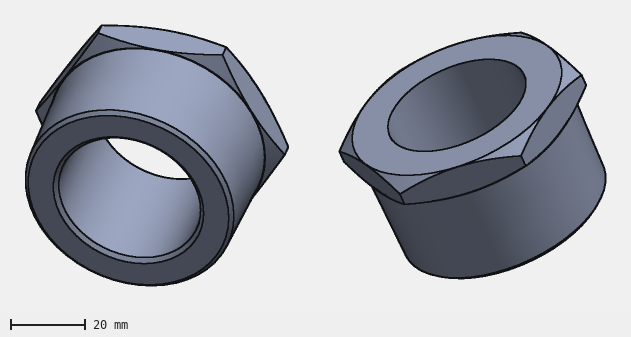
import cadquery as cq
import math

across_corners = 69.3
head_thickness = 8.95
head_face_diameter = 59.9
corner_chamfer_angle = 30.0
corner_clearance = 0.7

total_length = 37.0
root_diameter = 59.6
tip_diameter = 58.05
tip_chamfer = 1.1

bore_diameter = 39.5
bore_chamfer = 1.2

head_back = 0.0
head_front = head_back - head_thickness
tip_end = head_back - total_length


def revolved(profile):
    """Solid of revolution about Y from (radius, y) points."""
    return cq.Workplane("XY").polyline(profile).close().revolve(360, (0, 0), (0, 1))


def hexagonal_head():
    prism = cq.Workplane("XZ").polygon(6, across_corners).extrude(head_thickness)
    face_radius = head_face_diameter / 2
    outer_radius = across_corners / 2 + corner_clearance
    drop = (outer_radius - face_radius) * math.tan(math.radians(corner_chamfer_angle))
    envelope = revolved([
        (0, head_back),
        (face_radius, head_back),
        (outer_radius, head_back - drop),
        (outer_radius, head_front + drop),
        (face_radius, head_front),
        (0, head_front),
    ])
    return prism.intersect(envelope)


def tapered_spigot():
    tip_radius = tip_diameter / 2
    return revolved([
        (0, head_front),
        (root_diameter / 2, head_front),
        (tip_radius, tip_end + tip_chamfer),
        (tip_radius - tip_chamfer, tip_end),
        (0, tip_end),
    ])


def bore():
    radius = bore_diameter / 2
    return revolved([
        (0, head_back),
        (radius, head_back),
        (radius, tip_end + bore_chamfer),
        (radius + bore_chamfer, tip_end),
        (0, tip_end),
    ])


result = hexagonal_head().union(tapered_spigot()).cut(bore())